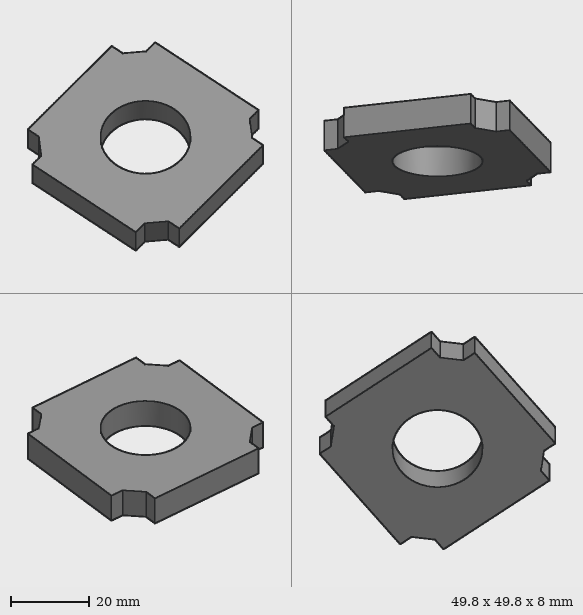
import cadquery as cq

side = 49.8
thickness = 8.0
bore_diameter = 23.0
edge_length = 34.0
notch_wall = 3.65

half_side = side / 2
half_edge = edge_length / 2
chamfer_start = half_side - notch_wall


def corner_notch(x_sign, y_sign):
    """Square corner cutout whose inner corner is left filled by a 45 degree face."""
    profile = [
        (half_side, half_edge),
        (chamfer_start, half_edge),
        (half_edge, chamfer_start),
        (half_edge, half_side),
        (half_side, half_side),
    ]
    points = [(x_sign * x, y_sign * y) for x, y in profile]
    return cq.Workplane("XY").polyline(points).close().extrude(thickness)


result = cq.Workplane("XY").box(side, side, thickness, centered=(True, True, False))

for x_sign in (-1, 1):
    for y_sign in (-1, 1):
        result = result.cut(corner_notch(x_sign, y_sign))

result = result.faces(">Z").workplane(origin=(0, 0, thickness)).hole(bore_diameter)